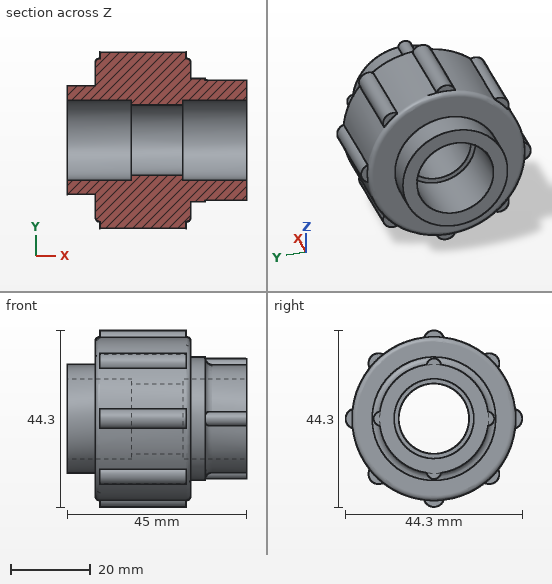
import cadquery as cq

length = 45.0
sleeve_diameter = 27.3

nut_start = 7.0
nut_end = 31.0
nut_diameter = 41.05
nut_edge_radius = 1.2
grip_count = 8
grip_radius = 2.55
grip_tip_diameter = 44.3

collar_end = 34.55
collar_diameter = 30.95
collar_fillet_radius = 1.7
sleeve_rib_count = 4
sleeve_rib_radius = 1.8
sleeve_rib_tip_diameter = 30.15

socket_diameter = 20.0
socket_depth = 16.0
stop_diameter = 17.55


def cylinder(diameter, start, end):
    """Round bar on the X axis between two X positions."""
    return cq.Workplane("YZ", origin=(start, 0, 0)).circle(diameter / 2).extrude(end - start)


def rib_ring(count, radius, tip_diameter, start, end):
    """Round ribs parallel to X, evenly spaced, whose tips touch the tip diameter."""
    center_radius = tip_diameter / 2 - radius
    return (
        cq.Workplane("YZ", origin=(start, 0, 0))
        .polarArray(center_radius, 0, 360, count)
        .circle(radius)
        .extrude(end - start)
    )


def collar_fillet():
    """Concave ring blending the collar face into the sleeve."""
    inner_radius = sleeve_diameter / 2
    outer_radius = inner_radius + collar_fillet_radius
    fillet_end = collar_end + collar_fillet_radius
    diagonal_offset = collar_fillet_radius * (1 - 0.5**0.5)
    arc_middle = (collar_end + diagonal_offset, inner_radius + diagonal_offset)
    root_radius = socket_diameter / 2
    return (
        cq.Workplane("XY")
        .moveTo(collar_end, root_radius)
        .lineTo(collar_end, outer_radius)
        .threePointArc(arc_middle, (fillet_end, inner_radius))
        .lineTo(fillet_end, root_radius)
        .close()
        .revolve(360, (0, 0, 0), (1, 0, 0))
    )


def nut():
    """Round-edged nut body with grip ribs between its edge roundings."""
    body = cylinder(nut_diameter, nut_start, nut_end).edges("%CIRCLE").fillet(nut_edge_radius)
    grips = rib_ring(
        grip_count,
        grip_radius,
        grip_tip_diameter,
        nut_start + nut_edge_radius,
        nut_end - nut_edge_radius,
    )
    return body.union(grips)


def bore():
    """Through hole widened into a pipe socket at each end."""
    return (
        cylinder(stop_diameter, 0, length)
        .union(cylinder(socket_diameter, 0, socket_depth))
        .union(cylinder(socket_diameter, length - socket_depth, length))
    )


sleeve_ribs = rib_ring(
    sleeve_rib_count, sleeve_rib_radius, sleeve_rib_tip_diameter, collar_end, length
)

result = (
    cylinder(sleeve_diameter, 0, length)
    .union(nut())
    .union(cylinder(collar_diameter, nut_end, collar_end))
    .union(collar_fillet())
    .union(sleeve_ribs)
    .cut(bore())
)